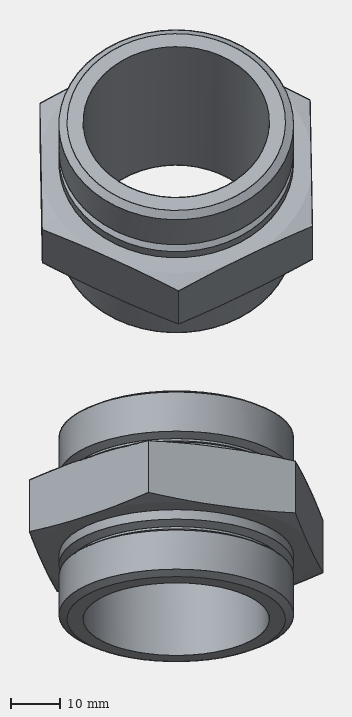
import cadquery as cq

hex_corner_diameter = 63.5
hex_height = 12.8
hex_chamfer_diameter = 55.65
hex_chamfer_depth = 0.7

total_height = 41.0
tube_diameter = 47.75
bore_diameter = 37.9
end_chamfer_height = 0.95
end_chamfer_width = 1.65

groove_depth = 1.65
groove_floor_width = 0.5
groove_side_height = 0.95
groove_offset = 2.1

tube_radius = tube_diameter / 2
half_height = total_height / 2
half_hex = hex_height / 2


def make_hex():
    """Hexagon with corners on X, chamfered conically at both faces."""
    hexagon = (
        cq.Workplane("XY")
        .workplane(offset=-half_hex)
        .polygon(6, hex_corner_diameter)
        .extrude(hex_height)
    )
    face_radius = hex_chamfer_diameter / 2
    corner_radius = hex_corner_diameter / 2
    shoulder = half_hex - hex_chamfer_depth
    overrun = 0.65
    overrun_drop = overrun * hex_chamfer_depth / (corner_radius - face_radius)
    outer_radius = corner_radius + overrun
    outer_level = shoulder - overrun_drop
    envelope = (
        cq.Workplane("XZ")
        .moveTo(0, -half_hex)
        .lineTo(face_radius, -half_hex)
        .lineTo(outer_radius, -outer_level)
        .lineTo(outer_radius, outer_level)
        .lineTo(face_radius, half_hex)
        .lineTo(0, half_hex)
        .close()
        .revolve(360, (0, 0, 0), (0, 1, 0))
    )
    return hexagon.intersect(envelope)


def make_upper_tube():
    """Solid end above mid-height, with its relief groove and end chamfer."""
    groove_bottom = half_hex + groove_offset
    floor_bottom = groove_bottom + groove_side_height
    floor_top = floor_bottom + groove_floor_width
    groove_top = floor_top + groove_side_height
    floor_radius = tube_radius - groove_depth
    return (
        cq.Workplane("XZ")
        .lineTo(tube_radius, 0)
        .lineTo(tube_radius, groove_bottom)
        .lineTo(floor_radius, floor_bottom)
        .lineTo(floor_radius, floor_top)
        .lineTo(tube_radius, groove_top)
        .lineTo(tube_radius, half_height - end_chamfer_height)
        .lineTo(tube_radius - end_chamfer_width, half_height)
        .lineTo(0, half_height)
        .close()
        .revolve(360, (0, 0, 0), (0, 1, 0))
    )


def make_bore():
    """Plain cylinder through the full height."""
    return (
        cq.Workplane("XY")
        .workplane(offset=-half_height)
        .circle(bore_diameter / 2)
        .extrude(total_height)
    )


upper_tube = make_upper_tube()
lower_tube = upper_tube.mirror("XY")
result = make_hex().union(upper_tube).union(lower_tube).cut(make_bore())